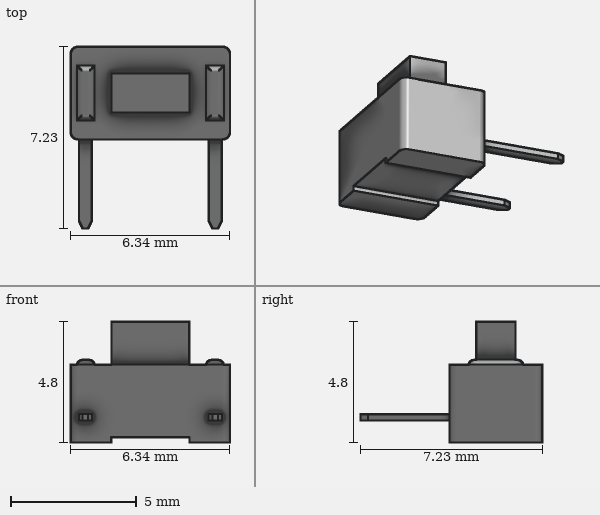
import cadquery as cq

body_length = 6.34
body_depth = 3.69
body_height = 3.1
body_corner_radius = 0.3

button_length = 3.1
button_depth = 1.56
button_height = 1.7

relief_length = button_length
relief_height = 0.2

ridge_spacing = 5.13
ridge_width = 0.72
ridge_length = 2.19
ridge_height = 0.19
ridge_radius = 0.25
ridge_sink = 0.1

overall_depth = 7.23
pin_spacing = 5.16
pin_width = 0.52
pin_thickness = 0.25
pin_center_height = 1.0
pin_reach = overall_depth - body_depth
pin_tip_width = 0.22
pin_tip_length = 0.3

on_floor = (True, True, False)


def make_housing():
    housing = cq.Workplane("XY").box(body_length, body_depth, body_height, centered=on_floor)
    housing = housing.edges("|Z").fillet(body_corner_radius)
    relief = cq.Workplane("XY").box(relief_length, body_depth, relief_height, centered=on_floor)
    return housing.cut(relief)


def make_button():
    block = cq.Workplane("XY").box(button_length, button_depth, button_height, centered=on_floor)
    return block.translate((0, 0, body_height))


def make_ridge(x):
    """Bar with a rounded top; its base is sunk slightly into the housing."""
    bar = cq.Workplane("XY").box(ridge_width, ridge_length, ridge_height + ridge_sink, centered=on_floor)
    bar = bar.faces(">Z").edges().fillet(ridge_radius)
    return bar.translate((x, 0, body_height - ridge_sink))


def make_pin(x):
    """Flat pin running toward -Y, tapered on both sides at its tip."""
    root_y = -body_depth / 2
    tip_y = root_y - pin_reach
    shoulder_y = tip_y + pin_tip_length
    outline = [
        (x - pin_width / 2, root_y),
        (x - pin_width / 2, shoulder_y),
        (x - pin_tip_width / 2, tip_y),
        (x + pin_tip_width / 2, tip_y),
        (x + pin_width / 2, shoulder_y),
        (x + pin_width / 2, root_y),
    ]
    underside = cq.Workplane("XY").workplane(offset=pin_center_height - pin_thickness / 2)
    return underside.polyline(outline).close().extrude(pin_thickness)


result = make_housing().union(make_button())
for side in (-1, 1):
    result = result.union(make_ridge(side * ridge_spacing / 2))
    result = result.union(make_pin(side * pin_spacing / 2))